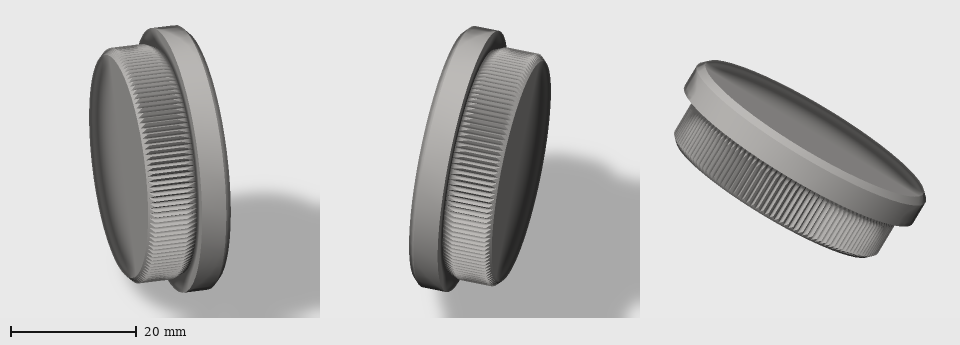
import cadquery as cq
import math

flange_radius = 21.2
flange_thickness = 5.0
total_length = 13.0
edge_chamfer = 1.0

tooth_count = 130
tip_radius = 18.85
root_radius = 18.1
front_chamfer = 0.98
relief_length = 1.8
relief_radius = 18.15
envelope_clearance = 0.2

knurl_length = total_length - flange_thickness
tooth_pitch = 2 * math.pi / tooth_count


def polar_point(radius, angle):
    return (radius * math.cos(angle), radius * math.sin(angle))


def make_flange():
    """Round disc, y = 0 at its rear face, with the rear rim chamfered."""
    disc = cq.Workplane("XZ").circle(flange_radius).extrude(flange_thickness)
    return disc.faces(">Y").edges().chamfer(edge_chamfer)


def make_toothed_prism():
    """Straight V-shaped teeth, with one tip on the +X axis."""
    outline = []
    for tooth in range(tooth_count):
        tip_angle = tooth * tooth_pitch
        outline.append(polar_point(tip_radius, tip_angle))
        outline.append(polar_point(root_radius, tip_angle + tooth_pitch / 2))
    start = cq.Workplane("XZ", origin=(0, -flange_thickness, 0))
    return start.polyline(outline).close().extrude(knurl_length)


def make_knurl_envelope():
    """Turned body that trims the teeth: front chamfer and tapered relief at the flange."""
    front_y = -total_length
    flange_y = -flange_thickness
    outer_radius = tip_radius + envelope_clearance
    relief_slope = relief_length / (tip_radius - relief_radius)
    relief_end = relief_slope * (outer_radius - relief_radius)
    half_section = [
        (0, front_y),
        (tip_radius - front_chamfer, front_y),
        (outer_radius, front_y + front_chamfer + envelope_clearance),
        (outer_radius, flange_y - relief_end),
        (relief_radius, flange_y),
        (0, flange_y),
    ]
    return cq.Workplane("XY").polyline(half_section).close().revolve(360, (0, 0), (0, 1))


knurl = make_toothed_prism().intersect(make_knurl_envelope())
result = make_flange().union(knurl)